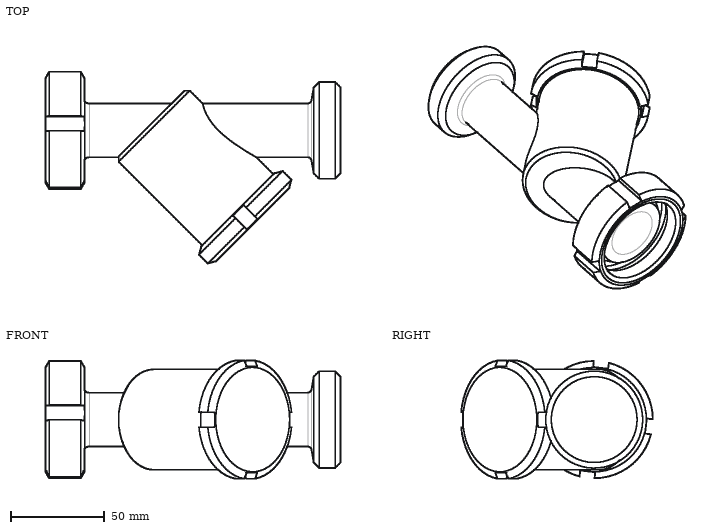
import cadquery as cq
import math

FULL_TURN = 360

TOTAL_LENGTH = 158.25
PIPE_RADIUS = 14.5

SLOT_COUNT = 4
SLOT_WIDTH = 8.0
NUT_FACE_RADIUS = 28.0
NUT_CHAMFER_ANGLE = 30.0

NUT_RADIUS = 31.5
NUT_LENGTH = 21.0
NUT_TURN = -7.1
NUT_BORE_RADIUS = 24.0
NUT_MOUTH_RADIUS = 26.5
NUT_MOUTH_DEPTH = 1.0
UNDERCUT_RADIUS = 26.0
UNDERCUT_START = 8.4
UNDERCUT_FLARE = 4.0
SHOULDER_X = 16.0
NUT_BACK_HOLE_RADIUS = 19.0

LINER_NOSE_X = 8.2
LINER_FLAT_RADIUS = 13.5
LINER_NOSE_RADIUS = 19.2
LINER_NOSE_FALL = 0.5
LINER_RADIUS = 22.0
LINER_COLLAR_X = 15.0
LINER_NECK_FILLET = 3.0
LINER_NECK_X = 23.4

END_RADIUS = 26.0
END_CHAMFER = 3.0
END_LENGTH = 14.5
END_FILLET = 2.0
END_NECK_X = 140.6
END_BACK_ANGLE = 11.0

HOUSING_ANGLE = -45.0
HOUSING_CROSSING_X = 60.55
HOUSING_BACK = 5.2
HOUSING_RADIUS = 27.0
HOUSING_CHAMFER = 2.0
CAP_RADIUS = 32.0
CAP_LENGTH = 11.3
CAP_SLOT_FLOOR = 28.5
CAP_FACE = 71.5


def slotted_disc(radius, length, slot_floor):
    """Disc along +X from the origin, both rims chamfered, with slots across its edge."""
    rim_rise = radius - NUT_FACE_RADIUS
    chamfer = rim_rise * math.tan(math.radians(NUT_CHAMFER_ANGLE))
    disc = (
        cq.Workplane("XY")
        .polyline([
            (0, 0),
            (0, NUT_FACE_RADIUS),
            (chamfer, radius),
            (length - chamfer, radius),
            (length, NUT_FACE_RADIUS),
            (length, 0),
        ])
        .close()
        .revolve(FULL_TURN, (0, 0, 0), (1, 0, 0))
    )
    slot = cq.Workplane("XY").box(length, SLOT_WIDTH, 2 * rim_rise, centered=(False, True, True))
    slot = slot.translate((0, 0, slot_floor + rim_rise))
    for index in range(SLOT_COUNT):
        disc = disc.cut(slot.rotate((0, 0, 0), (1, 0, 0), index * FULL_TURN / SLOT_COUNT))
    return disc


def union_nut():
    """Slotted nut with a chamfered bore, an undercut and a rear shoulder."""
    cavity = (
        cq.Workplane("XY")
        .polyline([
            (0, 0),
            (0, NUT_MOUTH_RADIUS),
            (NUT_MOUTH_DEPTH, NUT_BORE_RADIUS),
            (UNDERCUT_START, NUT_BORE_RADIUS),
            (UNDERCUT_START + UNDERCUT_FLARE, UNDERCUT_RADIUS),
            (SHOULDER_X, UNDERCUT_RADIUS),
            (SHOULDER_X, NUT_BACK_HOLE_RADIUS),
            (NUT_LENGTH, NUT_BACK_HOLE_RADIUS),
            (NUT_LENGTH, 0),
        ])
        .close()
        .revolve(FULL_TURN, (0, 0, 0), (1, 0, 0))
    )
    nut = slotted_disc(NUT_RADIUS, NUT_LENGTH, NUT_FACE_RADIUS).cut(cavity)
    return nut.rotate((0, 0, 0), (1, 0, 0), NUT_TURN)


def pipe_run():
    """Solid of revolution about X: liner nose and collar, pipe, and the threaded right end."""
    neck_start = LINER_NECK_X - LINER_NECK_FILLET
    neck_radius = PIPE_RADIUS + LINER_NECK_FILLET
    neck_middle = LINER_NECK_FILLET * (1 - math.sqrt(0.5))

    lean = math.radians(END_BACK_ANGLE)
    fillet_end_x = END_NECK_X + END_FILLET * math.cos(lean)
    fillet_end_radius = PIPE_RADIUS + END_FILLET * (1 - math.sin(lean))
    half_sweep = (math.pi / 2 - lean) / 2
    fillet_middle_x = END_NECK_X + END_FILLET * math.sin(half_sweep)
    fillet_middle_radius = PIPE_RADIUS + END_FILLET * (1 - math.cos(half_sweep))
    end_start = TOTAL_LENGTH - END_LENGTH
    end_rim_radius = END_RADIUS - END_CHAMFER

    return (
        cq.Workplane("XY")
        .moveTo(LINER_NOSE_X, 0)
        .lineTo(LINER_NOSE_X, LINER_FLAT_RADIUS)
        .lineTo(LINER_NOSE_X + LINER_NOSE_FALL, LINER_NOSE_RADIUS)
        .lineTo(LINER_COLLAR_X, LINER_RADIUS)
        .lineTo(SHOULDER_X, LINER_RADIUS)
        .lineTo(SHOULDER_X, neck_radius)
        .lineTo(neck_start, neck_radius)
        .threePointArc(
            (neck_start + neck_middle, PIPE_RADIUS + neck_middle),
            (LINER_NECK_X, PIPE_RADIUS),
        )
        .lineTo(END_NECK_X, PIPE_RADIUS)
        .threePointArc((fillet_middle_x, fillet_middle_radius), (fillet_end_x, fillet_end_radius))
        .lineTo(end_start, end_rim_radius)
        .lineTo(end_start + END_CHAMFER, END_RADIUS)
        .lineTo(TOTAL_LENGTH - END_CHAMFER, END_RADIUS)
        .lineTo(TOTAL_LENGTH, end_rim_radius)
        .lineTo(TOTAL_LENGTH, 0)
        .close()
        .revolve(FULL_TURN, (0, 0, 0), (1, 0, 0))
    )


def strainer_housing():
    """Angled housing cylinder, chamfered at its rear, with the slotted cap at its front."""
    cap_start = CAP_FACE - CAP_LENGTH
    barrel = (
        cq.Workplane("YZ")
        .workplane(offset=-HOUSING_BACK)
        .circle(HOUSING_RADIUS)
        .extrude(HOUSING_BACK + cap_start)
        .faces("<X")
        .chamfer(HOUSING_CHAMFER)
    )
    cap = slotted_disc(CAP_RADIUS, CAP_LENGTH, CAP_SLOT_FLOOR).translate((cap_start, 0, 0))
    housing = barrel.union(cap).rotate((0, 0, 0), (0, 0, 1), HOUSING_ANGLE)
    return housing.translate((HOUSING_CROSSING_X, 0, 0))


nut = union_nut()
strainer_body = pipe_run().union(strainer_housing())

result = cq.Compound.makeCompound([nut.val(), strainer_body.val()])